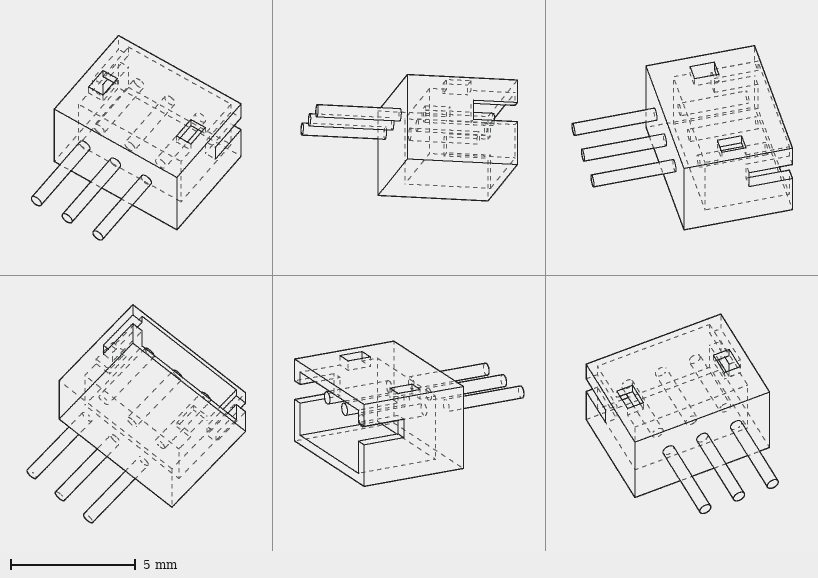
import cadquery as cq

width = 6.0
total_length = 7.9
height = 3.5
depth = 4.5
side_wall = 0.5
roof = 0.4
floor = 0.4
front_wall = 1.0

pin_count = 3
pin_pitch = 1.5
pin_diameter = 0.5
pin_below_top = 1.295
pin_setback = 0.695

slot_depth = 1.8
slot_height = 0.79
slot_below_top = 0.93

window_width = 0.7
window_length = 1.0

pin_overhang = total_length - depth
pin_length = total_length - pin_setback


def block(size_x, size_y, size_z, center_x, start_y, start_z):
    """Box centred on center_x, growing toward +Y and +Z from its start."""
    return (
        cq.Workplane("XY")
        .box(size_x, size_y, size_z, centered=(True, False, False))
        .translate((center_x, start_y, start_z))
    )


def make_housing():
    housing = block(width, depth, height, 0, 0, 0)
    cavity = block(
        width - 2 * side_wall, depth - front_wall, height - roof - floor, 0, front_wall, floor
    )
    slot_start = depth - slot_depth
    slots = block(width, slot_depth, slot_height, 0, slot_start, height - slot_below_top - slot_height)
    housing = housing.cut(cavity).cut(slots)

    window_x = width / 2 - side_wall - window_width / 2
    for side in (-1, 1):
        window = block(
            window_width, window_length, roof, side * window_x, slot_start - window_length, height - roof
        )
        housing = housing.cut(window)
    return housing


def make_pin(x):
    return (
        cq.Workplane("XZ", origin=(x, -pin_overhang, height - pin_below_top))
        .circle(pin_diameter / 2)
        .extrude(-pin_length)
    )


result = make_housing()
for index in range(pin_count):
    pin_x = (index - (pin_count - 1) / 2) * pin_pitch
    result = result.union(make_pin(pin_x))